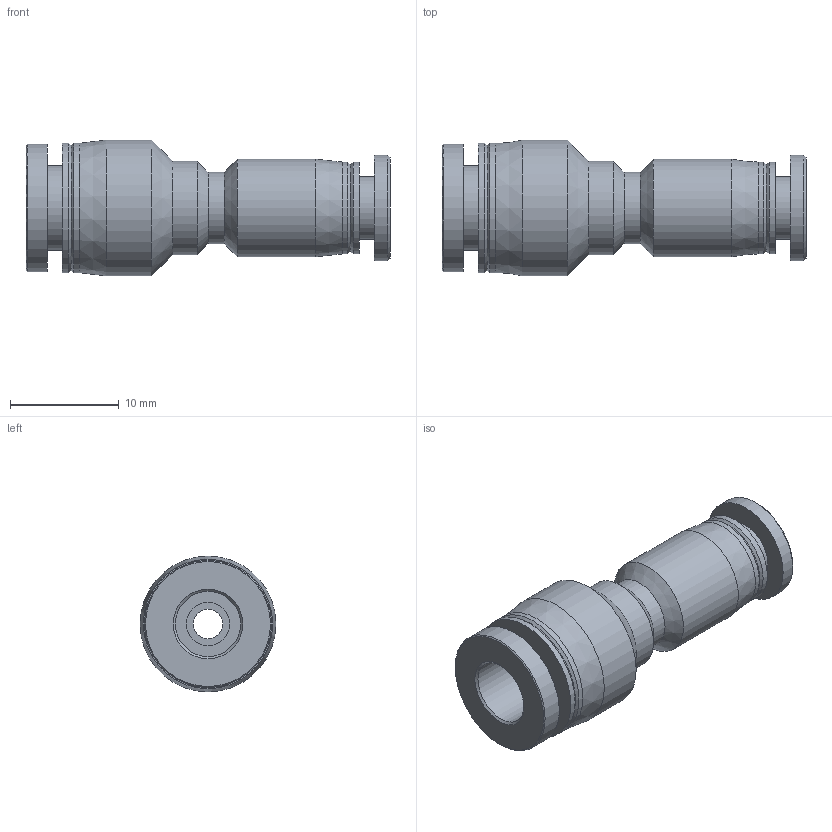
import cadquery as cq


TOTAL_LENGTH = 33.5
LARGE_FLANGE_LENGTH = 1.95
LARGE_NECK_LENGTH = 1.4
LARGE_RETAINER_LENGTH = 0.55
LARGE_LIP_LENGTH = 0.5
TAPER_LENGTH = 2.5
LARGE_BODY_LENGTH = 4.15
SHOULDER_LENGTH = 2.25
WAIST_LENGTH = 1.5
SMALL_BODY_LENGTH = 7.15
SMALL_LIP_LENGTH = 0.5
SMALL_RETAINER_LENGTH = 0.55
SMALL_NECK_LENGTH = 1.4
GROOVE_WIDTH = 0.5
GROOVE_DEPTH = 0.2

LARGE_FLANGE_DIAMETER = 11.7
LARGE_NECK_DIAMETER = 7.8
LARGE_LIP_DIAMETER = 11.9
LARGE_BODY_DIAMETER = 12.5
SHOULDER_DIAMETER = 8.6
WAIST_DIAMETER = 6.6
SMALL_BODY_DIAMETER = 9.0
SMALL_LIP_DIAMETER = 8.45
SMALL_NECK_DIAMETER = 5.8
SMALL_FLANGE_DIAMETER = 9.75
LARGE_FLANGE_CHAMFER = 0.1
SMALL_FLANGE_CHAMFER = 0.2

SOCKET_DIAMETER = 6.0
SOCKET_MOUTH_CHAMFER = 0.2
MIDDLE_BORE_DIAMETER = 4.0
THROUGH_BORE_DIAMETER = 2.7

large_end = -TOTAL_LENGTH / 2
small_end = TOTAL_LENGTH / 2
large_flange_end = large_end + LARGE_FLANGE_LENGTH
large_retainer_start = large_flange_end + LARGE_NECK_LENGTH
large_groove_start = large_retainer_start + LARGE_RETAINER_LENGTH
large_lip_start = large_groove_start + GROOVE_WIDTH
large_taper_start = large_lip_start + LARGE_LIP_LENGTH
large_body_start = large_taper_start + TAPER_LENGTH
large_body_end = large_body_start + LARGE_BODY_LENGTH
shoulder_start = large_body_end + (LARGE_BODY_DIAMETER - SHOULDER_DIAMETER) / 2
shoulder_end = shoulder_start + SHOULDER_LENGTH
waist_start = shoulder_end + (SHOULDER_DIAMETER - WAIST_DIAMETER) / 2
waist_end = waist_start + WAIST_LENGTH
small_body_start = waist_end + (SMALL_BODY_DIAMETER - WAIST_DIAMETER) / 2
small_body_end = small_body_start + SMALL_BODY_LENGTH
small_taper_end = small_body_end + TAPER_LENGTH
small_lip_end = small_taper_end + SMALL_LIP_LENGTH
small_groove_end = small_lip_end + GROOVE_WIDTH
small_retainer_end = small_groove_end + SMALL_RETAINER_LENGTH
small_flange_start = small_retainer_end + SMALL_NECK_LENGTH


def make_body():
    """Revolve the outside profile, drawn as (x, radius), into a solid bar."""
    large_flange = LARGE_FLANGE_DIAMETER / 2
    large_neck = LARGE_NECK_DIAMETER / 2
    large_lip = LARGE_LIP_DIAMETER / 2
    large_body = LARGE_BODY_DIAMETER / 2
    shoulder = SHOULDER_DIAMETER / 2
    waist = WAIST_DIAMETER / 2
    small_body = SMALL_BODY_DIAMETER / 2
    small_lip = SMALL_LIP_DIAMETER / 2
    small_neck = SMALL_NECK_DIAMETER / 2
    small_flange = SMALL_FLANGE_DIAMETER / 2

    profile = (
        cq.Workplane("XZ")
        .moveTo(large_end, 0)
        .lineTo(large_end, large_flange - LARGE_FLANGE_CHAMFER)
        .lineTo(large_end + LARGE_FLANGE_CHAMFER, large_flange)
        .lineTo(large_flange_end, large_flange)
        .lineTo(large_flange_end, large_neck)
        .lineTo(large_retainer_start, large_neck)
        .lineTo(large_retainer_start, large_lip)
        .lineTo(large_groove_start, large_lip)
        .lineTo(large_lip_start - GROOVE_WIDTH / 2, large_lip - GROOVE_DEPTH)
        .lineTo(large_lip_start, large_lip)
        .lineTo(large_taper_start, large_lip)
        .lineTo(large_body_start, large_body)
        .lineTo(large_body_end, large_body)
        .lineTo(shoulder_start, shoulder)
        .lineTo(shoulder_end, shoulder)
        .lineTo(waist_start, waist)
        .lineTo(waist_end, waist)
        .lineTo(small_body_start, small_body)
        .lineTo(small_body_end, small_body)
        .lineTo(small_taper_end, small_lip)
        .lineTo(small_lip_end, small_lip)
        .lineTo(small_lip_end + GROOVE_WIDTH / 2, small_lip - GROOVE_DEPTH)
        .lineTo(small_groove_end, small_lip)
        .lineTo(small_retainer_end, small_lip)
        .lineTo(small_retainer_end, small_neck)
        .lineTo(small_flange_start, small_neck)
        .lineTo(small_flange_start, small_flange)
        .lineTo(small_end - SMALL_FLANGE_CHAMFER, small_flange)
        .lineTo(small_end, small_flange - SMALL_FLANGE_CHAMFER)
        .lineTo(small_end, 0)
        .close()
    )
    return profile.revolve(360, (0, 0, 0), (1, 0, 0))


def make_bore():
    """Stepped cutter: chamfered tube socket, middle bore and through bore."""
    socket = SOCKET_DIAMETER / 2
    middle = MIDDLE_BORE_DIAMETER / 2
    through = THROUGH_BORE_DIAMETER / 2
    profile = (
        cq.Workplane("XZ")
        .moveTo(large_end, 0)
        .lineTo(large_end, socket + SOCKET_MOUTH_CHAMFER)
        .lineTo(large_end + SOCKET_MOUTH_CHAMFER, socket)
        .lineTo(large_body_end, socket)
        .lineTo(large_body_end, middle)
        .lineTo(waist_start, middle)
        .lineTo(waist_start, through)
        .lineTo(small_end, through)
        .lineTo(small_end, 0)
        .close()
    )
    return profile.revolve(360, (0, 0, 0), (1, 0, 0))


result = make_body().cut(make_bore())